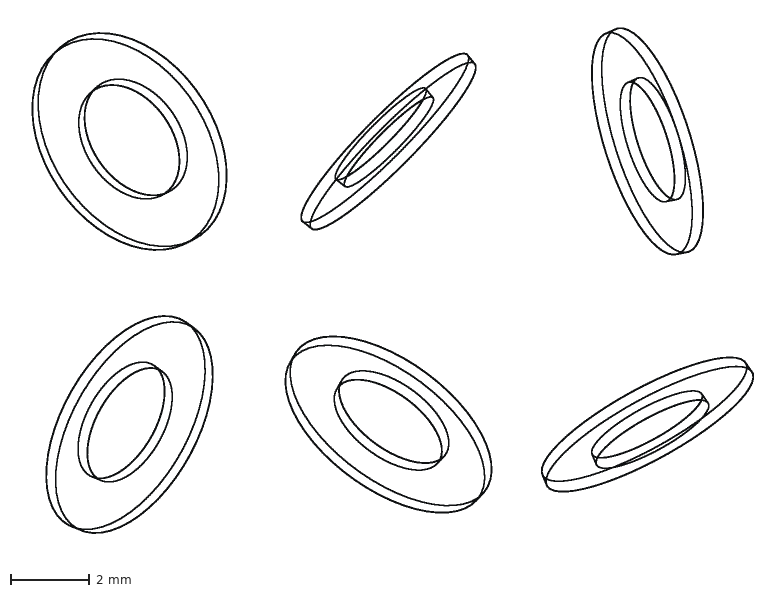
import cadquery as cq
import math

outer_diameter = 6.0
hole_diameter = 3.2
thickness = 0.3
overall_height = 0.45

outer_radius = outer_diameter / 2
hole_radius = hole_diameter / 2
cone_angle = math.asin((overall_height - thickness) / (outer_radius - hole_radius))

edge_lean = thickness * math.sin(cone_angle)
edge_height = thickness * math.cos(cone_angle)
cone_rise = overall_height - edge_height


def conical_washer():
    """Revolve the tilted rectangular section, drawn in the YZ plane, about Y."""
    section = [
        (0, outer_radius - edge_lean),
        (edge_height, outer_radius),
        (overall_height, hole_radius + edge_lean),
        (cone_rise, hole_radius),
    ]
    return cq.Workplane("YZ").polyline(section).close().revolve(360, (0, 0), (1, 0))


result = conical_washer()